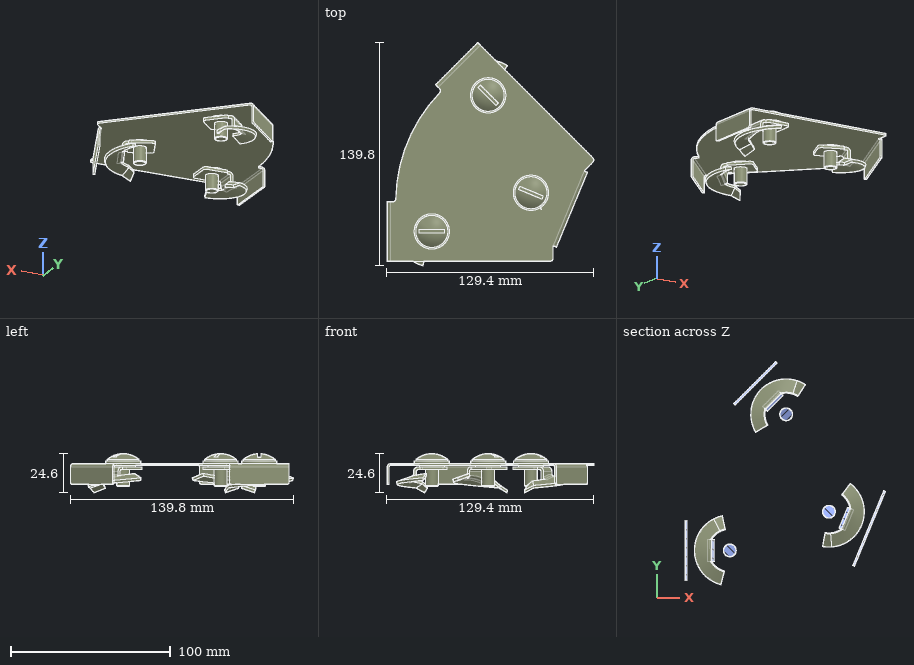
import cadquery as cq
import math

BEND_ANGLE = 45.0
BISECTOR_ANGLE = 180.0 - BEND_ANGLE / 2
APEX_X = 193.7
TRAY_THICKNESS = 1.2
TRAY_BEND_RADIUS = 2.2
FLANGE_DEPTH = 13.0
FLANGE_CORNER_RADIUS = 1.1
SIDE_FLANGE_LENGTH = 37.3
NOTCH_DEPTH = 5.3
NOTCH_RADIUS = 2.0
CURVED_EDGE_RADIUS = 98.1
INNER_CORNER_X = 104.0
INNER_CORNER_HEIGHT = 9.6
INNER_CORNER_RADIUS = 2.0

SCREW_X = 28.0
SCREW_Y = 18.7
INNER_SCREW_DISTANCE = 112.2
SHAFT_RADIUS = 4.0
SHAFT_BOTTOM = -14.3
SHAFT_CHAMFER = 0.4
HEAD_RADIUS = 11.0
HEAD_RIM_HEIGHT = 1.7
DOME_RADIUS = 10.0
DOME_BASE = 2.5
DOME_TOP = 6.3
SLOT_WIDTH = 2.1
SLOT_DEPTH = 2.2

WASHER_RADIUS = 7.8
WASHER_THICKNESS = 0.8

CLIP_THICKNESS = 1.8
CLIP_TOP = -TRAY_THICKNESS - WASHER_THICKNESS
CLIP_FRONT = 9.4
CLIP_BACK = 7.4
CLIP_HALF_WIDTH = 8.8
CLIP_CORNER_RADIUS = 2.2
CLIP_BACK_CORNER_RADIUS = 1.7
CLIP_BEND_RADIUS = 3.0
WALL_DISTANCE = 11.5
WALL_HALF_WIDTH = 7.0
WING_RADIUS = 22.2
WING_INNER_RADIUS = 13.8
WING_SLOPE = 18.5
WING_BEND_RADIUS = 1.7
LIP_START = 102.0
WING_START = 117.0
WING_END = 255.5
LIP_EDGE_Z = -16.6
WING_START_Z = -13.7
WING_END_Z = -9.0

APEX = cq.Vector(APEX_X, 0, 0)
BISECTOR = cq.Vector(math.cos(math.radians(BISECTOR_ANGLE)), math.sin(math.radians(BISECTOR_ANGLE)), 0)


def mirrored(x, y):
    """Reflect a plan point in the bisector."""
    offset = cq.Vector(x, y, 0) - APEX
    image = APEX + BISECTOR * (2 * offset.dot(BISECTOR)) - offset
    return image.x, image.y


def flange(length):
    """Bent flange: outer face on X = 0, top on Z = 0, running along Y from 0."""
    inner_radius = TRAY_BEND_RADIUS - TRAY_THICKNESS
    strip = (
        cq.Workplane("XZ")
        .moveTo(TRAY_BEND_RADIUS, 0)
        .radiusArc((0, -TRAY_BEND_RADIUS), -TRAY_BEND_RADIUS)
        .lineTo(0, -FLANGE_DEPTH)
        .lineTo(TRAY_THICKNESS, -FLANGE_DEPTH)
        .lineTo(TRAY_THICKNESS, -TRAY_BEND_RADIUS)
        .radiusArc((TRAY_BEND_RADIUS, -TRAY_THICKNESS), inner_radius)
        .close()
        .extrude(-length)
    )
    return strip.edges("|X and <Z").fillet(FLANGE_CORNER_RADIUS)


def round_corners(sheet, points, radius):
    """Round the upright edges of the tray sheet that are nearest to plan points."""
    for x, y in points:
        corner = cq.selectors.NearestToPointSelector((x, y, -TRAY_THICKNESS / 2))
        sheet = sheet.edges(corner).fillet(radius)
    return sheet


def make_tray():
    """Flat sheet with three flanges bent down and a hole for each screw."""
    notch = (NOTCH_DEPTH, SIDE_FLANGE_LENGTH)
    inner_edge = (INNER_CORNER_X, INNER_CORNER_HEIGHT)
    far_inner_edge = mirrored(*inner_edge)

    offset = cq.Vector(*notch, 0) - APEX
    along = offset.dot(BISECTOR)
    across = math.sqrt(offset.dot(offset) - along**2)
    crown = APEX + BISECTOR * (along - math.sqrt(CURVED_EDGE_RADIUS**2 - across**2) + CURVED_EDGE_RADIUS)

    sheet = (
        cq.Workplane("XY")
        .moveTo(TRAY_BEND_RADIUS, 0)
        .lineTo(INNER_CORNER_X, 0)
        .lineTo(*inner_edge)
        .lineTo(*far_inner_edge)
        .lineTo(*mirrored(INNER_CORNER_X, 0))
        .lineTo(*mirrored(TRAY_BEND_RADIUS, 0))
        .lineTo(*mirrored(TRAY_BEND_RADIUS, SIDE_FLANGE_LENGTH))
        .lineTo(*mirrored(*notch))
        .threePointArc((crown.x, crown.y), notch)
        .lineTo(TRAY_BEND_RADIUS, SIDE_FLANGE_LENGTH)
        .close()
        .extrude(-TRAY_THICKNESS)
    )

    sheet = round_corners(sheet, [notch, mirrored(*notch)], NOTCH_RADIUS)
    inner_corners = [(INNER_CORNER_X, 0), mirrored(INNER_CORNER_X, 0)]
    sheet = round_corners(sheet, inner_corners, INNER_CORNER_RADIUS)

    side_flange = flange(SIDE_FLANGE_LENGTH)
    mirror_normal = cq.Vector(0, 0, 1).cross(BISECTOR)
    far_flange = side_flange.mirror(mirror_normal, APEX.toTuple())

    inner_run = cq.Vector(*far_inner_edge, 0) - cq.Vector(*inner_edge, 0)
    inner_flange = (
        flange(inner_run.Length)
        .translate((-TRAY_BEND_RADIUS, 0, 0))
        .rotate((0, 0, 0), (0, 0, 1), BISECTOR_ANGLE)
        .translate((*far_inner_edge, 0))
    )
    tray = sheet.union(side_flange).union(far_flange).union(inner_flange)
    for place in screw_places():
        hole = cq.Workplane("XY").circle(SHAFT_RADIUS).extrude(-TRAY_THICKNESS)
        tray = tray.cut(hole.val().moved(place))
    return tray.solids().val()


def screw_places():
    """Position and turn of each screw, with its washer and clip."""
    inner = APEX + BISECTOR * INNER_SCREW_DISTANCE
    spots = [
        ((SCREW_X, SCREW_Y), 0),
        (mirrored(SCREW_X, SCREW_Y), -BEND_ANGLE),
        ((inner.x, inner.y), BISECTOR_ANGLE),
    ]
    return [cq.Location(cq.Vector(x, y, 0), cq.Vector(0, 0, 1), turn) for (x, y), turn in spots]


def make_screw():
    """Slotted screw with a domed head resting on Z = 0; the slot runs along X."""
    cap_height = DOME_TOP - DOME_BASE
    sphere_radius = (DOME_RADIUS**2 + cap_height**2) / (2 * cap_height)
    screw = (
        cq.Workplane("XZ")
        .moveTo(0, SHAFT_BOTTOM)
        .lineTo(SHAFT_RADIUS - SHAFT_CHAMFER, SHAFT_BOTTOM)
        .lineTo(SHAFT_RADIUS, SHAFT_BOTTOM + SHAFT_CHAMFER)
        .lineTo(SHAFT_RADIUS, 0)
        .lineTo(HEAD_RADIUS, 0)
        .lineTo(HEAD_RADIUS, HEAD_RIM_HEIGHT)
        .lineTo(DOME_RADIUS, HEAD_RIM_HEIGHT)
        .lineTo(DOME_RADIUS, DOME_BASE)
        .radiusArc((0, DOME_TOP), -sphere_radius)
        .close()
        .revolve()
    )
    slot = (
        cq.Workplane("XY", origin=(0, 0, DOME_TOP - SLOT_DEPTH))
        .rect(2 * HEAD_RADIUS, SLOT_WIDTH)
        .extrude(SLOT_DEPTH)
    )
    return screw.cut(slot).solids().val()


def make_washer():
    """Flat washer against the underside of the tray."""
    return (
        cq.Workplane("XY", origin=(0, 0, CLIP_TOP))
        .circle(WASHER_RADIUS)
        .circle(SHAFT_RADIUS)
        .extrude(WASHER_THICKNESS)
        .val()
    )


def spiral(points, start, end, start_z, end_z):
    """Sweep an XZ outline about the screw axis from one angle to another while it rises.

    Heights in the outline are measured from the rim's top edge.
    """
    turn = end - start
    rise = end_z - start_z
    path = cq.Wire.makeHelix(rise * 360 / turn, rise, WING_RADIUS)
    body = cq.Workplane("XZ").polyline(points).close().sweep(cq.Workplane(path), isFrenet=True)
    return body.rotate((0, 0, 0), (0, 0, 1), start).translate((0, 0, start_z))


def sheet_section(inner_radius):
    """Radial section of the wing's sloping sheet, thickness measured square to the slope."""
    slope = math.radians(WING_SLOPE)
    rise = (WING_RADIUS - inner_radius) * math.tan(slope)
    in_step = CLIP_THICKNESS * math.sin(slope)
    down_step = CLIP_THICKNESS * math.cos(slope)
    return [
        (WING_RADIUS, 0),
        (inner_radius, rise),
        (inner_radius - in_step, rise - down_step),
        (WING_RADIUS - in_step, -down_step),
    ]


def make_wing():
    """Spiral sheet that rises to its free edge, with a steeper lip at its lower end."""
    section = sheet_section(WING_INNER_RADIUS)
    wing = spiral(section, WING_START, WING_END, WING_START_Z, WING_END_Z)
    lip = spiral(section, LIP_START, WING_START, LIP_EDGE_Z, WING_START_Z)
    return wing.union(lip)


def make_clip():
    """Clip with its hole on the screw axis and its wall on the -X side."""
    back_edge = -CLIP_BACK
    plate = (
        cq.Workplane("XY", origin=(0, 0, CLIP_TOP))
        .moveTo((CLIP_FRONT + back_edge) / 2, 0)
        .rect(CLIP_FRONT - back_edge, 2 * CLIP_HALF_WIDTH)
        .extrude(-CLIP_THICKNESS)
        .edges("|Z and >X").fillet(CLIP_CORNER_RADIUS)
        .edges("|Z and <X").fillet(CLIP_BACK_CORNER_RADIUS)
        .faces(">Z").workplane(origin=(0, 0, CLIP_TOP)).circle(SHAFT_RADIUS).cutThruAll()
    )

    bend_x = CLIP_BEND_RADIUS - WALL_DISTANCE
    wall_inner = CLIP_THICKNESS - WALL_DISTANCE
    bend_z = CLIP_TOP - CLIP_BEND_RADIUS
    wall = (
        cq.Workplane("XZ")
        .moveTo(back_edge, CLIP_TOP)
        .lineTo(bend_x, CLIP_TOP)
        .radiusArc((-WALL_DISTANCE, bend_z), -CLIP_BEND_RADIUS)
        .lineTo(-WALL_DISTANCE, LIP_EDGE_Z)
        .lineTo(wall_inner, LIP_EDGE_Z)
        .lineTo(wall_inner, bend_z)
        .radiusArc((bend_x, CLIP_TOP - CLIP_THICKNESS), CLIP_BEND_RADIUS - CLIP_THICKNESS)
        .lineTo(back_edge, CLIP_TOP - CLIP_THICKNESS)
        .close()
        .extrude(WALL_HALF_WIDTH, both=True)
    )

    wing_turn = (WING_START, WING_END, WING_START_Z, WING_END_Z)
    inner_section = sheet_section(WALL_DISTANCE - 2 * CLIP_THICKNESS)
    underside_inner, underside_rim = inner_section[2:]
    below_sheet = spiral(
        [
            underside_inner,
            underside_rim,
            (underside_rim[0], LIP_EDGE_Z),
            (underside_inner[0], LIP_EDGE_Z),
        ],
        *wing_turn,
    )
    wall = wall.cut(below_sheet)

    wall = wall.edges("%BSPLINE").edges(">X").fillet(WING_BEND_RADIUS)
    neck_length = WING_INNER_RADIUS - WALL_DISTANCE
    neck = (
        cq.Workplane("XY", origin=(-WALL_DISTANCE - neck_length / 2, 0, LIP_EDGE_Z))
        .rect(neck_length, 2 * WALL_HALF_WIDTH)
        .extrude(-LIP_EDGE_Z)
        .intersect(spiral(inner_section, *wing_turn))
    )
    bent = wall.union(neck)
    outer_fold = cq.selectors.NearestToPointSelector((-WALL_DISTANCE, 0, (WING_START_Z + CLIP_TOP) / 2))
    bent = bent.edges(outer_fold).fillet(CLIP_BEND_RADIUS - CLIP_THICKNESS)
    return plate.union(bent).union(make_wing()).solids().val()


tray = make_tray()
screw = make_screw()
washer = make_washer()
clip = make_clip()

screws = [screw.moved(place) for place in screw_places()]
washers = [washer.moved(place) for place in screw_places()]
clips = [clip.moved(place) for place in screw_places()]

result = cq.Compound.makeCompound([tray, *screws, *washers, *clips])